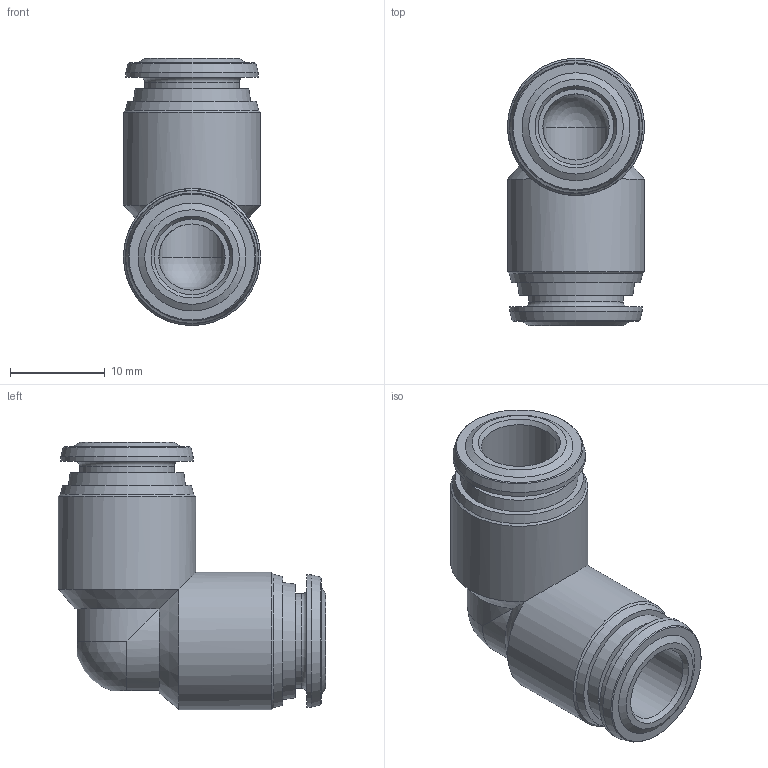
import cadquery as cq
import math


body_radius = 14.5 / 2
tip_reach = 21.0

elbow_radius = 11.0 / 2
elbow_flat_distance = 5.25
shoulder_start = 3.4
shoulder_end = 5.5
body_end = 15.3
body_chamfer = 0.2

step_end = 16.45
step_tip_radius = 6.8
sleeve_end = 17.8
sleeve_base_radius = 6.2
sleeve_tip_radius = 6.0

neck_radius = 10.0 / 2
neck_fillet = 0.5
flange_radius = 14.0 / 2
flange_start = 19.0
flange_taper_start = 19.5
flange_tip_radius = 6.75
flange_edge_break = 0.1
rim_height = 0.45
rim_base_radius = 5.7
rim_tip_radius = 5.0
flange_end = tip_reach - rim_height

bore_radius = 7.0 / 2
tube_radius = 8.0 / 2
tube_stop = shoulder_end
lead_in_radius = 4.33
lead_in_depth = 0.5


def leg_outside():
    """Solid of revolution of one leg along +Z, starting at the elbow centre."""
    arc_offset = neck_fillet * (1 - math.sqrt(0.5))
    profile = (
        cq.Workplane("XZ")
        .lineTo(elbow_radius, 0)
        .lineTo(elbow_radius, shoulder_start)
        .lineTo(body_radius, shoulder_end)
        .lineTo(body_radius, body_end)
        .lineTo(body_radius - body_chamfer, body_end + body_chamfer)
        .lineTo(step_tip_radius, step_end)
        .lineTo(sleeve_base_radius, step_end)
        .lineTo(sleeve_tip_radius, sleeve_end)
        .lineTo(neck_radius, sleeve_end)
        .lineTo(neck_radius, flange_start - neck_fillet)
        .threePointArc(
            (neck_radius + arc_offset, flange_start - arc_offset),
            (neck_radius + neck_fillet, flange_start),
        )
        .lineTo(flange_radius, flange_start)
        .lineTo(flange_radius, flange_taper_start)
        .lineTo(flange_tip_radius, flange_end - flange_edge_break)
        .lineTo(flange_tip_radius - flange_edge_break, flange_end)
        .lineTo(rim_base_radius, flange_end)
        .lineTo(rim_tip_radius, tip_reach)
        .lineTo(0, tip_reach)
        .close()
    )
    return profile.revolve(360, (0, 0), (0, 1))


def leg_passage():
    """Bore, tube socket and conical lead-in of one leg along +Z."""
    profile = (
        cq.Workplane("XZ")
        .lineTo(bore_radius, 0)
        .lineTo(bore_radius, tube_stop)
        .lineTo(tube_radius, tube_stop)
        .lineTo(tube_radius, tip_reach - lead_in_depth)
        .lineTo(lead_in_radius, tip_reach)
        .lineTo(0, tip_reach)
        .close()
    )
    return profile.revolve(360, (0, 0), (0, 1))


def both_legs(leg, corner_radius):
    """Join a +Z leg, its copy turned to -Y, and the ball that rounds their corner."""
    turned_leg = leg.rotate((0, 0, 0), (1, 0, 0), 90)
    corner_ball = cq.Workplane("XY").sphere(corner_radius)
    return leg.union(turned_leg).union(corner_ball)


def elbow_flats():
    """Cutters for the flats across the outer sides of the elbow, ending at the shoulders."""
    depth = elbow_radius - elbow_flat_distance
    width = 2 * elbow_radius
    length = elbow_radius + shoulder_start
    back = cq.Workplane("XY").box(width, depth, length, centered=(True, False, False))
    back = back.translate((0, elbow_flat_distance, -elbow_radius))
    bottom = cq.Workplane("XY").box(width, length, depth, centered=(True, False, False))
    bottom = bottom.translate((0, -shoulder_start, -elbow_radius))
    return back.union(bottom)


outside = both_legs(leg_outside(), elbow_radius).cut(elbow_flats())
passage = both_legs(leg_passage(), bore_radius)
result = outside.cut(passage)